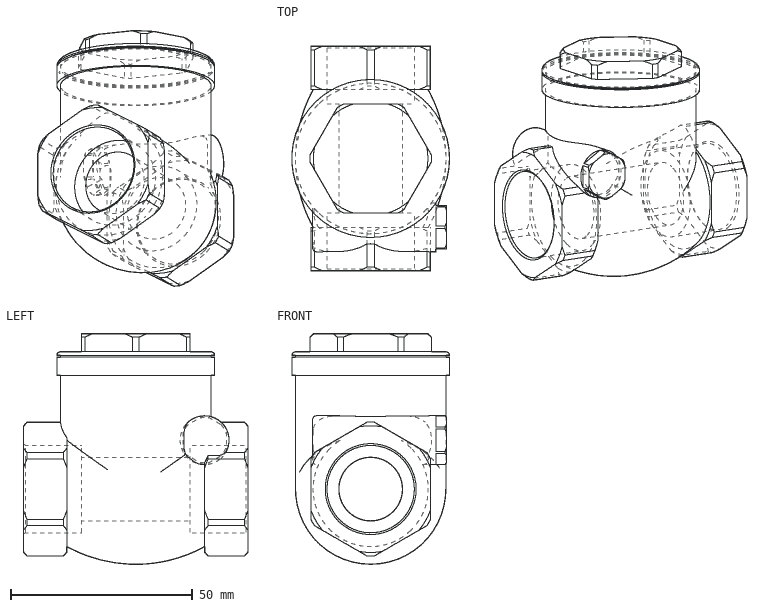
import cadquery as cq
import math


body_dia = 41.6
body_end_radius = 15.9
overall_length = 62.0

nut_length = 12.0
nut_across_flats = 33.0
nut_corner_dia = 37.0
nut_chamfer = 1.0

passage_dia = 17.5
socket_dia = 24.12
socket_depth = 16.0
socket_chamfer = 0.5

flange_dia = 43.6
cap_top = 42.92
cap_hex_height = 5.0
cap_across_flats = 30.0
cap_corner_dia = 33.6
cap_chamfer = 1.0
cap_rim_round = 1.0
cap_gap = 0.5
collar_height = 5.0

boss_dia = 13.5
boss_y = -19.0
boss_z = 13.5
boss_start_x = -16.0
boss_end_x = 18.0
boss_fillet = 1.0
plug_length = 3.0
plug_across_flats = 12.0
plug_chamfer = 0.5

body_radius = body_dia / 2
nut_inner_y = overall_length / 2 - nut_length
cap_hex_bottom = cap_top - cap_hex_height
cap_rim_bottom = cap_hex_bottom - cap_rim_round
collar_top = cap_rim_bottom - cap_gap
collar_bottom = collar_top - collar_height


def turned_hex(plane, across_flats, corner_dia, length, chamfer, chamfered_ends, turn=0):
    """Hexagonal bar with its corners turned to a diameter and its ends chamfered."""
    hex_bar = (
        cq.Workplane(plane)
        .transformed(rotate=(0, 0, turn))
        .polygon(6, across_flats / math.cos(math.pi / 6))
        .extrude(length)
    )
    blank = cq.Workplane(plane).circle(corner_dia / 2).extrude(length)
    blank = blank.edges(chamfered_ends).chamfer(chamfer)
    return hex_bar.intersect(blank)


def bulged_body():
    """Barrel revolved about the flow axis, with a circular-arc profile."""
    return (
        cq.Workplane("XY")
        .moveTo(0, -nut_inner_y)
        .lineTo(body_end_radius, -nut_inner_y)
        .threePointArc((body_radius, 0), (body_end_radius, nut_inner_y))
        .lineTo(0, nut_inner_y)
        .close()
        .revolve(360, (0, 0, 0), (0, 1, 0))
    )


def disc(diameter, bottom, top):
    """Vertical round section between two heights on the bonnet axis."""
    return cq.Workplane("XY").workplane(offset=bottom).circle(diameter / 2).extrude(top - bottom)


def cap_rim():
    """Round cap flange whose outer edge is a quarter round of the rim height."""
    flat_radius = flange_dia / 2 - cap_rim_round
    quarter_offset = cap_rim_round * math.sqrt(0.5)
    return (
        cq.Workplane("XZ")
        .moveTo(0, cap_rim_bottom)
        .lineTo(flange_dia / 2, cap_rim_bottom)
        .threePointArc(
            (flat_radius + quarter_offset, cap_rim_bottom + quarter_offset),
            (flat_radius, cap_hex_bottom),
        )
        .lineTo(0, cap_hex_bottom)
        .close()
        .revolve(360, (0, 0, 0), (0, 1, 0))
    )


def bonnet():
    """Body neck, its collar, and the screwed cap with a hexagonal head."""
    neck = disc(body_dia, 0, cap_hex_bottom)
    collar = disc(flange_dia, collar_bottom, collar_top)
    head_plane = cq.Plane(origin=(0, 0, cap_hex_bottom))
    head = turned_hex(head_plane, cap_across_flats, cap_corner_dia, cap_hex_height, cap_chamfer, ">Z")
    return neck.union(collar).union(cap_rim()).union(head)


def end_nut(side):
    """Hexagonal pipe end on the +Y (side = 1) or -Y (side = -1) face."""
    plane = cq.Plane(origin=(0, side * nut_inner_y, 0), xDir=(0, 0, 1), normal=(0, side, 0))
    return turned_hex(plane, nut_across_flats, nut_corner_dia, nut_length, nut_chamfer, "<Y or >Y")


def hinge_boss():
    """Round boss across the neck, closed by a hexagonal plug on its +X end."""
    start = cq.Plane(origin=(boss_start_x, boss_y, boss_z), xDir=(0, 1, 0), normal=(1, 0, 0))
    barrel = cq.Workplane(start).circle(boss_dia / 2).extrude(boss_end_x - boss_start_x)
    barrel = barrel.edges("<X").fillet(boss_fillet)
    seat = cq.Plane(origin=(boss_end_x, boss_y, boss_z), xDir=(0, 1, 0), normal=(1, 0, 0))
    plug = turned_hex(seat, plug_across_flats, boss_dia, plug_length, plug_chamfer, ">X", turn=90)
    return barrel.union(plug)


def socket(side):
    """Counterbore with a chamfered mouth in one pipe end."""
    face_y = side * overall_length / 2
    plane = cq.Plane(origin=(0, face_y, 0), xDir=(1, 0, 0), normal=(0, -side, 0))
    bore = cq.Workplane(plane).circle(socket_dia / 2).extrude(socket_depth)
    mouth = (
        cq.Workplane(plane)
        .circle(socket_dia / 2 + socket_chamfer)
        .extrude(socket_chamfer, taper=45)
    )
    return bore.union(mouth)


def passage():
    """Straight bore through the whole valve."""
    return cq.Workplane("XZ").circle(passage_dia / 2).extrude(overall_length / 2, both=True)


result = bulged_body().union(bonnet()).union(hinge_boss())
for end in (-1, 1):
    result = result.union(end_nut(end))
result = result.cut(passage())
for end in (-1, 1):
    result = result.cut(socket(end))